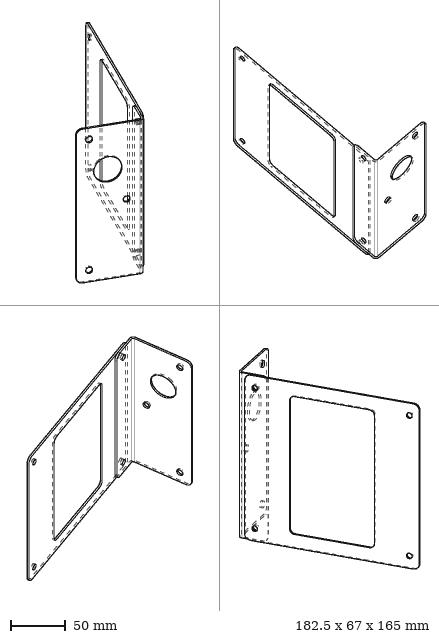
import cadquery as cq

height = 165.0
overall_width = 182.5
overall_depth = 67.0
sheet = 2.0
corner_radius = 6.0
mount_inset_z = 12.5
mount_spacing_z = height - 2 * mount_inset_z
mount_hole_diameter = 5.5

plate_width = 175.0
mount_inset_x = 10.0
mount_spacing_x = plate_width - 2 * mount_inset_x
window_width = 85.0
window_height = 137.6
window_radius = 5.0

flange_width = 30.0
leg_depth = overall_depth - sheet
bend_inner_radius = 2.0
bend_outer_radius = bend_inner_radius + sheet
leg_hole_diameter = 6.5
leg_hole_inset_y = 12.5
middle_hole_inset_y = 48.4
port_diameter = 27.0
port_inset_y = 30.3
port_above_middle = 35.0

mid_z = height / 2
leg_front_y = -leg_depth
flange_left_x = overall_width - flange_width
mount_right_x = plate_width - mount_inset_x


def round_cutter_x(y, z, diameter):
    """Cylinder along X that crosses the bracket leg."""
    start = cq.Vector(overall_width - 2 * sheet, y, z)
    return cq.Solid.makeCylinder(diameter / 2, 3 * sheet, start, cq.Vector(1, 0, 0))


def round_cutter_y(x, z, diameter):
    """Cylinder along Y that crosses both the plate and the flange."""
    start = cq.Vector(x, -2 * sheet, z)
    return cq.Solid.makeCylinder(diameter / 2, 4 * sheet, start, cq.Vector(0, 1, 0))


def mount_levels():
    """Heights of the lower and upper mounting holes."""
    return [mid_z - mount_spacing_z / 2, mid_z + mount_spacing_z / 2]


def make_plate():
    plate = cq.Workplane("XY").box(plate_width, sheet, height, centered=False)
    plate = plate.edges("|Y").fillet(corner_radius)

    window = cq.Workplane("XY").box(window_width, 3 * sheet, window_height)
    window = window.edges("|Y").fillet(window_radius)
    plate = plate.cut(window.translate((plate_width / 2, 0, mid_z)))

    for x in (mount_right_x - mount_spacing_x, mount_right_x):
        for z in mount_levels():
            plate = plate.cut(cq.Workplane(round_cutter_y(x, z, mount_hole_diameter)))
    return plate


def make_bracket():
    bracket = (
        cq.Workplane("XY")
        .moveTo(flange_left_x, 0)
        .lineTo(overall_width, 0)
        .lineTo(overall_width, leg_front_y)
        .lineTo(overall_width - sheet, leg_front_y)
        .lineTo(overall_width - sheet, -sheet)
        .lineTo(flange_left_x, -sheet)
        .close()
        .extrude(height)
    )

    bracket = bracket.edges(cq.NearestToPointSelector((overall_width, 0, mid_z))).fillet(bend_outer_radius)
    inner_corner = (overall_width - sheet, -sheet, mid_z)
    bracket = bracket.edges(cq.NearestToPointSelector(inner_corner)).fillet(bend_inner_radius)

    bracket = bracket.faces("<X").edges("|Y").fillet(corner_radius)
    bracket = bracket.faces("<Y").edges("|X").fillet(corner_radius)

    for z in mount_levels():
        bracket = bracket.cut(cq.Workplane(round_cutter_y(mount_right_x, z, mount_hole_diameter)))
        leg_hole = round_cutter_x(leg_front_y + leg_hole_inset_y, z, leg_hole_diameter)
        bracket = bracket.cut(cq.Workplane(leg_hole))

    middle_hole = round_cutter_x(leg_front_y + middle_hole_inset_y, mid_z, leg_hole_diameter)
    port = round_cutter_x(leg_front_y + port_inset_y, mid_z + port_above_middle, port_diameter)
    return bracket.cut(cq.Workplane(middle_hole)).cut(cq.Workplane(port))


plate = make_plate()
bracket = make_bracket()

result = cq.Compound.makeCompound([plate.val(), bracket.val()])